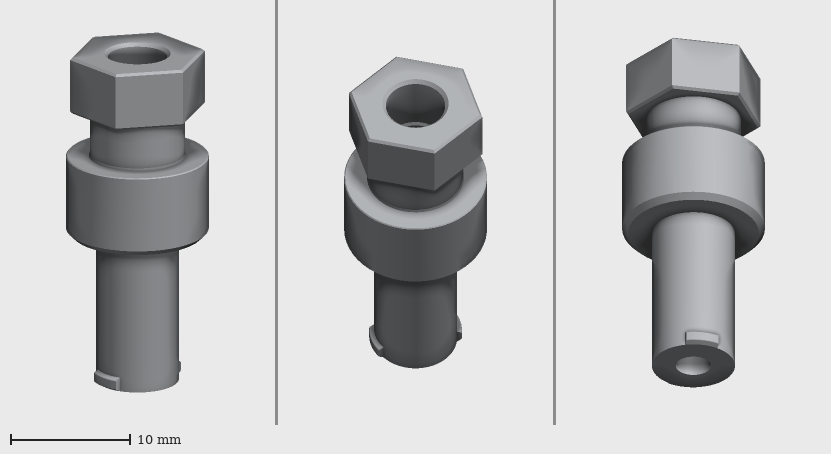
import cadquery as cq
import math

total_height = 29.0
nut_height = 5.0
neck_height = 4.05
flange_height = 7.0
nut_bottom = total_height - nut_height
flange_top = nut_bottom - neck_height
flange_bottom = flange_top - flange_height

flange_diameter = 12.0
stem_diameter = 7.0
neck_diameter = 8.0
nut_across_flats = 10.0

nut_chamfer = 0.2
flange_top_chamfer = 0.1
flange_bottom_chamfer = 0.5
neck_flare_width = 0.1
neck_flare_height = 0.2

through_diameter = 3.0
middle_diameter = 4.2
mouth_diameter = 5.0
mouth_chamfer = 0.3
mouth_depth = nut_height
middle_depth = total_height - flange_bottom

lug_diameter = 7.8
lug_width = 2.78
lug_root_top = 1.22
lug_rim_top = 1.02
lug_rim_bottom = 0.23
lug_rim_fillet = 0.12


def turned_body():
    """Stem, flange and neck revolved about Z."""
    stem = stem_diameter / 2
    flange = flange_diameter / 2
    neck = neck_diameter / 2
    profile = [
        (0, 0),
        (stem, 0),
        (stem, flange_bottom),
        (flange - flange_bottom_chamfer, flange_bottom),
        (flange, flange_bottom + flange_bottom_chamfer),
        (flange, flange_top - flange_top_chamfer),
        (flange - flange_top_chamfer, flange_top),
        (neck + neck_flare_width, flange_top),
        (neck, flange_top + neck_flare_height),
        (neck, nut_bottom),
        (0, nut_bottom),
    ]
    return cq.Workplane("XZ").polyline(profile).close().revolve(360, (0, 0), (0, 1))


def hex_nut():
    """Hexagonal head with corners on the X axis and chamfered end faces."""
    across_corners = nut_across_flats / math.cos(math.radians(30))
    nut = cq.Workplane("XY").workplane(offset=nut_bottom).polygon(6, across_corners).extrude(nut_height)
    return nut.faces("<Z or >Z").chamfer(nut_chamfer)


def lugs():
    """Two opposite bevelled lugs with rounded rims, cut from a ring by a slab along Y."""
    stem = stem_diameter / 2
    rim = lug_diameter / 2
    profile = [
        (0, 0),
        (stem, 0),
        (rim, lug_rim_bottom),
        (rim, lug_rim_top),
        (stem, lug_root_top),
        (0, lug_root_top),
    ]
    ring = cq.Workplane("XZ").polyline(profile).close().revolve(360, (0, 0), (0, 1))
    ring = ring.faces("%CYLINDER").edges().fillet(lug_rim_fillet)
    slab = cq.Workplane("XY").rect(lug_width, lug_diameter).extrude(lug_root_top)
    return ring.intersect(slab)


def stepped_bore():
    """Through hole with two wider steps and a chamfered mouth."""
    mouth = mouth_diameter / 2
    middle = middle_diameter / 2
    through = through_diameter / 2
    profile = [
        (0, 0),
        (through, 0),
        (through, total_height - middle_depth),
        (middle, total_height - middle_depth),
        (middle, total_height - mouth_depth),
        (mouth, total_height - mouth_depth),
        (mouth, total_height - mouth_chamfer),
        (mouth + mouth_chamfer, total_height),
        (0, total_height),
    ]
    return cq.Workplane("XZ").polyline(profile).close().revolve(360, (0, 0), (0, 1))


result = turned_body().union(hex_nut()).union(lugs()).cut(stepped_bore())